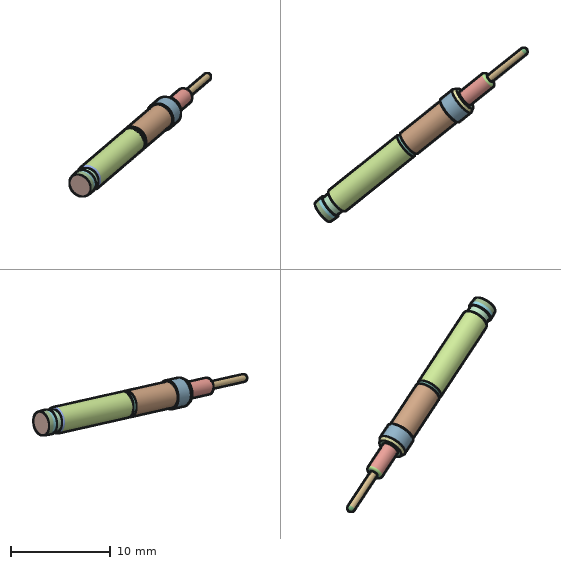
import cadquery as cq

LENGTH = 27.3

tip_radius = 0.4
sleeve_radius = 0.87
sleeve_round = 0.25
plunger_length = 4.97
sleeve_length = 3.3

collar_radius = 1.5
collar_length = 2.05
collar_chamfer_length = 0.4
collar_chamfer_depth = 0.22

barrel_radius = 1.36
barrel_length = 15.18
barrel_round = 0.22
groove_round = 0.2
groove_offset = 5.45

neck_radius = 1.15
tail_length = 1.0
tail_radius = 1.28
tail_curve_length = 0.6
tail_end_radius = 1.23

tip_end = LENGTH / 2
sleeve_front = tip_end - plunger_length
collar_front = sleeve_front - sleeve_length
collar_back = collar_front - collar_length
groove_front = collar_back - groove_offset
groove_back = groove_front - 2 * groove_round
barrel_back = collar_back - barrel_length
tail_end = -LENGTH / 2
tail_front = tail_end + tail_length
tail_curve_start = tail_end + tail_curve_length


def round_corner(outline, front, radius, size):
    """Round over the rim of a front face onto the given radius."""
    diagonal = size * 0.5 ** 0.5
    middle = (radius - size + diagonal, front - size + diagonal)
    return outline.threePointArc(middle, (radius, front - size))


outline = cq.Workplane("XY").moveTo(0, tip_end)

outline = round_corner(outline, tip_end, tip_radius, tip_radius)
outline = outline.lineTo(tip_radius, sleeve_front).lineTo(sleeve_radius - sleeve_round, sleeve_front)
outline = round_corner(outline, sleeve_front, sleeve_radius, sleeve_round)
outline = outline.lineTo(sleeve_radius, collar_front)

outline = (
    outline.lineTo(collar_radius - collar_chamfer_depth, collar_front)
    .lineTo(collar_radius, collar_front - collar_chamfer_length)
    .lineTo(collar_radius, collar_back)
    .lineTo(barrel_radius, collar_back)
)

outline = (
    outline.lineTo(barrel_radius, groove_front)
    .threePointArc((barrel_radius - groove_round, groove_front - groove_round), (barrel_radius, groove_back))
    .lineTo(barrel_radius, barrel_back + barrel_round)
    .tangentArcPoint((barrel_radius - barrel_round, barrel_back), relative=False)
)

outline = (
    outline.lineTo(neck_radius, tail_front)
    .lineTo(tail_radius, tail_front)
    .lineTo(tail_radius, tail_curve_start)
    .tangentArcPoint((tail_end_radius, tail_end), relative=False)
    .lineTo(0, tail_end)
    .close()
)

result = outline.revolve(360, (0, 0, 0), (0, 1, 0))